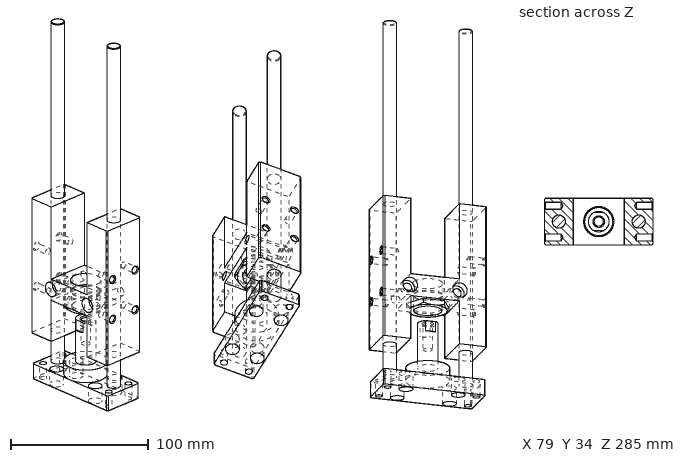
import cadquery as cq
import math

plate_length = 78.0
plate_width = 32.0
plate_thickness = 12.0
edge_chamfer = 1.0

rod_diameter = 10.0
rod_spacing = 58.0
rod_top = 285.0
rod_chamfer = 0.5

corner_hole_diameter = 5.0
corner_hole_spacing_x = 68.0
corner_hole_spacing_y = 20.0
large_hole_diameter = 10.0
large_hole_spacing_x = 40.0
large_hole_spacing_y = 20.0

flange_diameter = 32.0
flange_top = 22.0
shaft_diameter = 15.0
shaft_top = 56.0
shaft_flats_gap = 13.0
shaft_flats_length = 8.0
shaft_bore_diameter = 6.65
shaft_bore_depth = 20.0
shaft_bore_mouth_diameter = 8.4

housing_length = 79.0
housing_width = 34.0
housing_height = 108.0
housing_bottom = 37.0
arm_gap = 37.0
bridge_thickness = 17.0
bridge_bottom = 70.0

mount_hole_diameter = 6.6
mount_counterbore_diameter = 11.0
mount_counterbore_depth = 7.0
mount_hole_spacing = 38.0

side_hole_diameter = 4.92
side_hole_mouth_diameter = 6.4
side_hole_depth = 12.0
side_hole_spacing_y = 23.0
side_hole_spacing_z = 32.0
side_hole_center_z = 88.5
drill_tip_angle = 118.0

socket_diameter = 22.0
socket_depth = 9.0
socket_thread_diameter = 20.38
nut_across_flats = 28.0
nut_height = 4.0
nut_chamfer_diameter = nut_across_flats
nut_chamfer_height = 1.0


def cylinder(diameter, bottom, top):
    return cq.Workplane("XY").workplane(offset=bottom).circle(diameter / 2).extrude(top - bottom)


def drilled_hole(diameter, mouth_diameter, depth):
    """Blind hole cutter along -Z: 45 degree countersunk mouth at the origin and a conical tip."""
    radius = diameter / 2
    mouth_radius = mouth_diameter / 2
    tip_length = radius / math.tan(math.radians(drill_tip_angle / 2))
    profile = [
        (0, 0),
        (mouth_radius, 0),
        (radius, radius - mouth_radius),
        (radius, -depth),
        (0, -depth - tip_length),
    ]
    return cq.Workplane("XZ").polyline(profile).close().revolve(360, (0, 0, 0), (0, 1, 0))


def make_tool_plate():
    plate = (
        cq.Workplane("XY")
        .box(plate_length, plate_width, plate_thickness, centered=(True, True, False))
        .edges("|Z")
        .chamfer(edge_chamfer)
    )
    hole_patterns = [
        (corner_hole_diameter, corner_hole_spacing_x, corner_hole_spacing_y),
        (large_hole_diameter, large_hole_spacing_x, large_hole_spacing_y),
    ]
    for diameter, spacing_x, spacing_y in hole_patterns:
        plate = (
            plate.faces(">Z")
            .workplane(origin=(0, 0, plate_thickness))
            .rarray(spacing_x, spacing_y, 2, 2)
            .hole(diameter)
        )

    for side in (-1, 1):
        rod = cylinder(rod_diameter, 0, rod_top).faces(">Z").chamfer(rod_chamfer)
        plate = plate.union(rod.translate((side * rod_spacing / 2, 0, 0)))

    return plate.union(make_coupling())


def make_coupling():
    """Flange with a drilled shaft that carries two wrench flats at its top."""
    shaft = cylinder(shaft_diameter, flange_top, shaft_top)
    cutter_thickness = shaft_diameter - shaft_flats_gap
    flat_offset = shaft_diameter / 2
    for side in (-1, 1):
        flat_cut = cq.Workplane("XY").box(shaft_diameter, cutter_thickness, shaft_flats_length)
        flat_center_z = shaft_top - shaft_flats_length / 2
        shaft = shaft.cut(flat_cut.translate((0, side * flat_offset, flat_center_z)))
    bore = drilled_hole(shaft_bore_diameter, shaft_bore_mouth_diameter, shaft_bore_depth)
    shaft = shaft.cut(bore.translate((0, 0, shaft_top)))
    return cylinder(flange_diameter, plate_thickness, flange_top).union(shaft)


def make_nut():
    """Hex nut with the corners of its lower face chamfered by a cone."""
    across_corners = nut_across_flats / math.cos(math.pi / 6)
    nut_bottom = bridge_bottom - nut_height
    hexagon = cq.Workplane("XY").workplane(offset=nut_bottom).polygon(6, across_corners).extrude(nut_height)
    cone_radius = nut_chamfer_diameter / 2
    outer_radius = across_corners / 2
    envelope = (
        cq.Workplane("XZ")
        .polyline(
            [
                (0, nut_bottom),
                (cone_radius, nut_bottom),
                (outer_radius, nut_bottom + nut_chamfer_height),
                (outer_radius, bridge_bottom),
                (0, bridge_bottom),
            ]
        )
        .close()
        .revolve(360, (0, 0, 0), (0, 1, 0))
    )
    return hexagon.intersect(envelope)


def make_housing():
    bridge_top = bridge_bottom + bridge_thickness
    housing_top = housing_bottom + housing_height
    housing = (
        cq.Workplane("XY")
        .workplane(offset=housing_bottom)
        .rect(housing_length, housing_width)
        .extrude(housing_height)
        .edges("|Z")
        .chamfer(edge_chamfer)
    )
    for gap_bottom, gap_top in ((housing_bottom, bridge_bottom), (bridge_top, housing_top)):
        gap = cq.Workplane("XY").workplane(offset=gap_bottom).rect(arm_gap, housing_width)
        housing = housing.cut(gap.extrude(gap_top - gap_bottom))

    housing = housing.union(make_nut())
    socket_floor = bridge_top - socket_depth
    housing = housing.cut(cylinder(socket_diameter, socket_floor, bridge_top))
    housing = housing.cut(cylinder(socket_thread_diameter, bridge_bottom - nut_height, socket_floor))

    for side in (-1, 1):
        rod_bore = cylinder(rod_diameter, housing_bottom, housing_top)
        housing = housing.cut(rod_bore.translate((side * rod_spacing / 2, 0, 0)))

    mount_center_z = bridge_bottom + bridge_thickness / 2
    housing = (
        housing.faces("<Y")
        .workplane(origin=(0, -housing_width / 2, mount_center_z))
        .rarray(mount_hole_spacing, 1, 2, 1)
        .cboreHole(mount_hole_diameter, mount_counterbore_diameter, mount_counterbore_depth)
    )
    return cut_side_holes(housing)


def cut_side_holes(housing):
    for side in (-1, 1):
        cutter = drilled_hole(side_hole_diameter, side_hole_mouth_diameter, side_hole_depth)
        cutter = cutter.rotate((0, 0, 0), (0, 1, 0), side * 90)
        for row in (-1, 1):
            for column in (-1, 1):
                y = column * side_hole_spacing_y / 2
                z = side_hole_center_z + row * side_hole_spacing_z / 2
                housing = housing.cut(cutter.translate((side * housing_length / 2, y, z)))
    return housing


tool_plate = make_tool_plate()
housing = make_housing()
result = cq.Compound.makeCompound([tool_plate.val(), housing.val()])